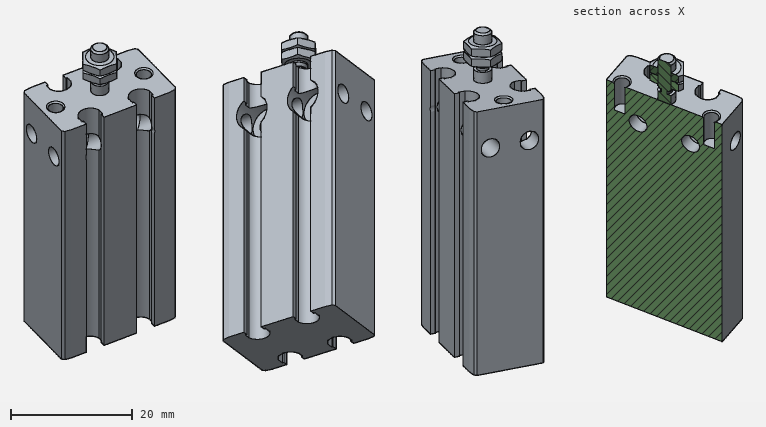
import cadquery as cq
import math

total_height = 57.0
body_width = 13.0
body_depth = 22.0
body_height = 48.0

corner_chamfer = 0.4
taper_inset = 0.15
taper_length = 1.6

slot_spacing = 9.7
slot_mouth_width = 3.4
slot_inner_width = 4.0
slot_bottom_diameter = 4.15
slot_lip = 0.9
slot_depth = 3.55

mount_hole_diameter = 3.3
mount_hole_drop = 7.0
side_hole_spacing = 10.0
front_hole_spacing = 7.0
counterbore_diameter = 6.0
counterbore_depth = 5.0

thread_hole_diameter = 2.5
thread_hole_mouth = 3.0
thread_hole_spacing = 17.0
thread_hole_depth = 6.0

rod_diameter = 3.0
rod_chamfer_diameter = 2.35
rod_tip_chamfer = 0.35
neck_diameter = 2.0
neck_bottom = 50.0
neck_length = 0.55
neck_cone_length = 0.5

nut_flats = 5.55
nut_thickness = 1.8
nut_count = 2
hex_sides = 6
nut_stack_top = 55.0
nut_face_diameter = 4.7
nut_chamfer_height = 0.3

mount_level = body_height - mount_hole_drop


def revolve_about_z(profile):
    """Turn a closed outline of (radius, height) points about the Z axis."""
    return cq.Workplane("XZ").polyline(profile).close().revolve(360, (0, 0, 0), (0, 1, 0))


def body_blank():
    """Prism with chamfered corners and X faces that taper slightly towards them."""
    half_x = body_width / 2
    half_y = body_depth / 2
    quarter = [
        (half_x, half_y - taper_length),
        (half_x - taper_inset, half_y - corner_chamfer),
        (half_x - taper_inset - corner_chamfer, half_y),
    ]
    right_half = [(x, -y) for x, y in reversed(quarter)] + quarter
    left_half = [(-x, -y) for x, y in right_half]
    return cq.Workplane("XY").polyline(right_half + left_half).close().extrude(body_height)


def slot_cutter(side, y):
    """Slot entering the face on the given X side: a narrow mouth opening into a round-ended channel."""
    face_x = side * body_width / 2
    lip_x = face_x - side * slot_lip
    bottom_x = face_x - side * slot_depth
    mouth = slot_mouth_width / 2
    inner = slot_inner_width / 2
    arc_radius = slot_bottom_diameter / 2
    arc_rise = arc_radius - math.sqrt(arc_radius**2 - inner**2)
    arc_x = bottom_x + side * arc_rise
    return (
        cq.Workplane("XY")
        .moveTo(face_x, y + mouth)
        .lineTo(lip_x, y + mouth)
        .lineTo(lip_x, y + inner)
        .lineTo(arc_x, y + inner)
        .threePointArc((bottom_x, y), (arc_x, y - inner))
        .lineTo(lip_x, y - inner)
        .lineTo(lip_x, y - mouth)
        .lineTo(face_x, y - mouth)
        .close()
        .extrude(body_height)
    )


def side_hole_cutter(y):
    """Hole along X, counterbored from the -X face."""
    start = cq.Workplane("YZ", origin=(-body_width / 2, y, mount_level))
    hole = start.circle(mount_hole_diameter / 2).extrude(body_width)
    counterbore = start.circle(counterbore_diameter / 2).extrude(counterbore_depth)
    return hole.union(counterbore)


def front_hole_cutter(x):
    """Plain hole along Y through the whole body."""
    start = cq.Workplane("XZ", origin=(x, body_depth / 2, mount_level))
    return start.circle(mount_hole_diameter / 2).extrude(body_depth)


def thread_hole_cutter(y):
    """Blind hole in the top face with a 45-degree countersunk mouth."""
    hole_radius = thread_hole_diameter / 2
    mouth_radius = thread_hole_mouth / 2
    mouth_bottom = body_height - (mouth_radius - hole_radius)
    hole_bottom = body_height - thread_hole_depth
    profile = [
        (0, hole_bottom),
        (hole_radius, hole_bottom),
        (hole_radius, mouth_bottom),
        (mouth_radius, body_height),
        (0, body_height),
    ]
    return revolve_about_z(profile).translate((0, y, 0))


def make_body():
    """Slotted body with its mounting holes and threaded holes."""
    body = body_blank()
    for end in (-1, 1):
        for side in (-1, 1):
            body = body.cut(slot_cutter(side, end * slot_spacing / 2))
        body = body.cut(side_hole_cutter(end * side_hole_spacing / 2))
        body = body.cut(front_hole_cutter(end * front_hole_spacing / 2))
        body = body.cut(thread_hole_cutter(end * thread_hole_spacing / 2))
    return body


def make_rod():
    """Rod standing on the body, necked below the threaded end."""
    rod_radius = rod_diameter / 2
    chamfer_radius = rod_chamfer_diameter / 2
    neck_radius = neck_diameter / 2
    neck_top = neck_bottom + neck_length
    profile = [
        (0, body_height),
        (rod_radius, body_height),
        (rod_radius, neck_bottom),
        (neck_radius, neck_bottom),
        (neck_radius, neck_top),
        (chamfer_radius, neck_top),
        (rod_radius, neck_top + neck_cone_length),
        (rod_radius, total_height - rod_tip_chamfer),
        (chamfer_radius, total_height),
        (0, total_height),
    ]
    return revolve_about_z(profile)


def make_nut(bottom):
    """Hex nut with corners pointing along Y and conical chamfers on both faces."""
    across_corners = nut_flats / math.cos(math.pi / hex_sides)
    corner_radius = across_corners / 2
    face_radius = nut_face_diameter / 2
    top = bottom + nut_thickness
    quarter_turn = 90
    hexagon = (
        cq.Workplane("XY", origin=(0, 0, bottom))
        .polygon(hex_sides, across_corners)
        .extrude(nut_thickness)
        .rotate((0, 0, 0), (0, 0, 1), quarter_turn)
    )
    chamfered_envelope = revolve_about_z([
        (rod_diameter / 2, bottom),
        (face_radius, bottom),
        (corner_radius, bottom + nut_chamfer_height),
        (corner_radius, top - nut_chamfer_height),
        (face_radius, top),
        (rod_diameter / 2, top),
    ])
    return hexagon.intersect(chamfered_envelope)


body = make_body()
rod = make_rod()
nuts = [make_nut(nut_stack_top - (index + 1) * nut_thickness) for index in range(nut_count)]

result = cq.Compound.makeCompound([body.val(), rod.val(), *[nut.val() for nut in nuts]])